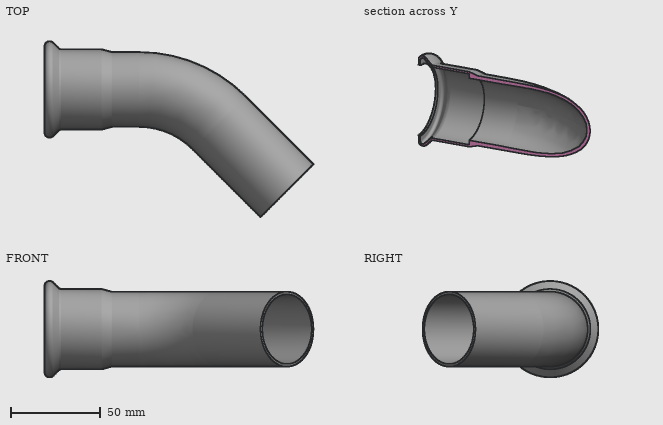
import cadquery as cq
import math

wall = 1.5
tube_radius = 42.0 / 2
tube_bore_radius = tube_radius - wall
bend_start = 52.8
bend_radius = 63.3
bend_angle = 45.0
outlet_length = 53.7

socket_radius = 45.0 / 2
mouth_radius = socket_radius - wall
bead_outer_radius = 54.0 / 2
bead_section_radius = 2.9
shoulder_fillet = 1.8

taper_start = 32.0
taper_end = 37.6
taper_fillet = 1.8
stop_bore_radius = 18.3

bead_center_radius = bead_outer_radius - bead_section_radius
diagonal = math.sqrt(0.5)
bend_angle_rad = math.radians(bend_angle)
bend_end_x = bend_start + bend_radius * math.sin(bend_angle_rad)
bend_end_y = -bend_radius * (1 - math.cos(bend_angle_rad))


def bead_profile(sketch, section_radius, foot_radius):
    """Draw the bead arc and its 45-degree flank, from the front of the bead to the socket wall."""
    tangent_x = bead_section_radius + section_radius * diagonal
    tangent_r = bead_center_radius + section_radius * diagonal
    return (
        sketch.lineTo(bead_section_radius - section_radius, bead_center_radius)
        .threePointArc(
            (bead_section_radius, bead_center_radius + section_radius),
            (tangent_x, tangent_r),
        )
        .lineTo(tangent_x + tangent_r - foot_radius, foot_radius)
    )


def revolve_about_x(sketch):
    return sketch.close().revolve(360, (0, 0, 0), (1, 0, 0))


def fillet_circle(body, x, radius, fillet):
    """Fillet the circular edge of the given radius centred on the X axis at x."""
    edge = cq.selectors.BoxSelector(
        (x - 0.2, -radius - 0.2, -radius - 0.2),
        (x + 0.2, radius + 0.2, radius + 0.2),
        boundingbox=True,
    )
    return body.edges(edge).fillet(fillet)


def shoulder_x(section_radius, foot_radius):
    """Position where the bead flank meets a wall of the given radius."""
    return bead_section_radius + bead_center_radius + 2 * section_radius * diagonal - foot_radius


def socket_outside():
    sketch = bead_profile(cq.Workplane("XY"), bead_section_radius, socket_radius)
    sketch = (
        sketch.lineTo(taper_start, socket_radius)
        .lineTo(taper_end, tube_radius)
        .lineTo(bend_start, tube_radius)
        .lineTo(bend_start, 0)
    )
    body = revolve_about_x(sketch)
    body = fillet_circle(body, shoulder_x(bead_section_radius, socket_radius), socket_radius, shoulder_fillet)
    body = fillet_circle(body, taper_start, socket_radius, taper_fillet)
    return fillet_circle(body, taper_end, tube_radius, taper_fillet)


def socket_inside():
    groove_section_radius = bead_section_radius - wall
    sketch = cq.Workplane("XY").lineTo(0, mouth_radius).lineTo(wall, mouth_radius)
    sketch = bead_profile(sketch, groove_section_radius, mouth_radius)
    sketch = (
        sketch.lineTo(taper_start, mouth_radius)
        .lineTo(taper_start, stop_bore_radius)
        .lineTo(bend_start, stop_bore_radius)
        .lineTo(bend_start, 0)
    )
    body = revolve_about_x(sketch)
    flank_foot = shoulder_x(groove_section_radius, mouth_radius)
    return fillet_circle(body, flank_foot, mouth_radius, shoulder_fillet + wall)


def bend_start_plane():
    return cq.Workplane("YZ", origin=(bend_start, 0, 0))


def bend_end_plane():
    direction = (math.cos(bend_angle_rad), -math.sin(bend_angle_rad), 0)
    across = (math.sin(bend_angle_rad), math.cos(bend_angle_rad), 0)
    return cq.Workplane(cq.Plane((bend_end_x, bend_end_y, 0), across, direction))


def bend_path():
    half_angle = bend_angle_rad / 2
    middle = (
        bend_start + bend_radius * math.sin(half_angle),
        -bend_radius * (1 - math.cos(half_angle)),
    )
    return cq.Workplane("XY").moveTo(bend_start, 0).threePointArc(middle, (bend_end_x, bend_end_y))


def bend_outside():
    return bend_start_plane().circle(tube_radius).sweep(bend_path())


def bend_inside():
    """Bore that widens along the bend from the stop bore to the tube bore."""
    start = cq.Wire.makeCircle(stop_bore_radius, cq.Vector(bend_start, 0, 0), cq.Vector(1, 0, 0))
    end_plane = bend_end_plane().plane
    end = cq.Wire.makeCircle(tube_bore_radius, end_plane.origin, end_plane.zDir)
    return cq.Workplane(cq.Solid.sweep_multi([start, end], bend_path().val()))


def outlet(radius):
    return bend_end_plane().circle(radius).extrude(outlet_length)


outside = socket_outside().union(bend_outside()).union(outlet(tube_radius))
result = outside.cut(socket_inside()).cut(bend_inside()).cut(outlet(tube_bore_radius))